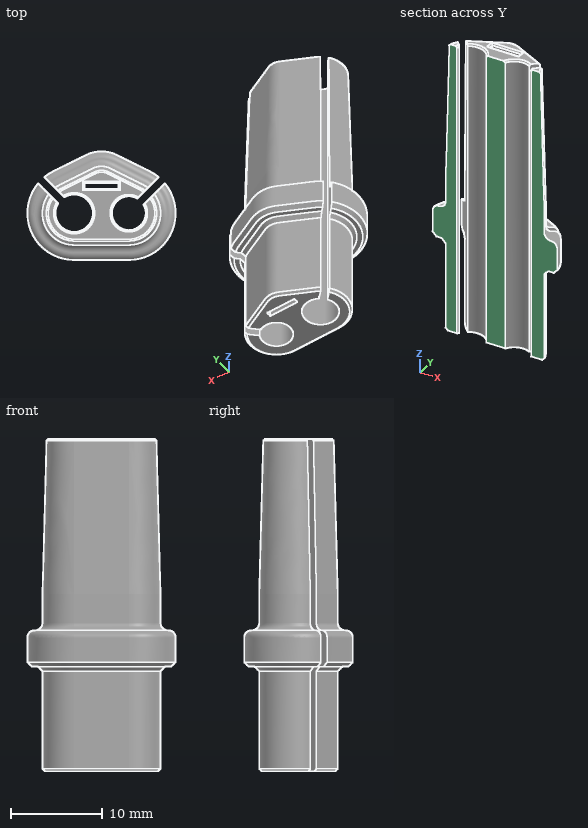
import cadquery as cq
import math

TOTAL_HEIGHT = 36.5
TAPER_LENGTH = 17.0
TAPER_ANGLE = 1.5
COLLAR_BOTTOM = 11.5
COLLAR_TOP = 15.5

SIDE_X = 3.0
SIDE_RADIUS = 3.5
PEAK_RADIUS = 2.15
PEAK_Y = 3.0
COLLAR_OVERHANG = 1.65

COLLAR_FILLET = 0.8
COLLAR_CHAMFER = 0.5
BOTTOM_CHAMFER = 0.3
TOP_CHAMFER = 0.2

LEFT_BORE_DIAMETER = 4.1
RIGHT_BORE_DIAMETER = 3.7
SLIT_WIDTH = 0.95
SLIT_ANGLE = 45.0
SLIT_REACH = 10.0
SLOT_LENGTH = 3.7
SLOT_WIDTH = 0.6
SLOT_Y = 3.0
MOUTH_CHAMFER = 0.2
MOUTH_ANGLE = 45.0

STRAIGHT_HEIGHT = TOTAL_HEIGHT - TAPER_LENGTH
EDGE_TOLERANCE = 0.01


def cross_section(z, growth=0.0):
    """Rounded outline at height z, grown outward everywhere by growth."""
    side_radius = SIDE_RADIUS + growth
    peak_radius = PEAK_RADIUS + growth
    center_distance = math.hypot(SIDE_X, PEAK_Y)
    lean = math.acos((side_radius - peak_radius) / center_distance) - math.atan2(SIDE_X, PEAK_Y)
    normal_x = math.sin(lean)
    normal_y = math.cos(lean)
    side_tangent_x = SIDE_X + side_radius * normal_x
    side_tangent_y = side_radius * normal_y
    peak_tangent_x = peak_radius * normal_x
    peak_tangent_y = PEAK_Y + peak_radius * normal_y
    middle_angle = -lean / 2
    side_middle_x = SIDE_X + side_radius * math.cos(middle_angle)
    side_middle_y = side_radius * math.sin(middle_angle)
    return (
        cq.Workplane("XY", origin=(0, 0, z))
        .moveTo(-SIDE_X, -side_radius)
        .lineTo(SIDE_X, -side_radius)
        .threePointArc((side_middle_x, side_middle_y), (side_tangent_x, side_tangent_y))
        .lineTo(peak_tangent_x, peak_tangent_y)
        .threePointArc((0, PEAK_Y + peak_radius), (-peak_tangent_x, peak_tangent_y))
        .lineTo(-side_tangent_x, side_tangent_y)
        .threePointArc((-side_middle_x, side_middle_y), (-SIDE_X, -side_radius))
        .close()
    )


def make_body():
    """Straight plug with a tapered upper end and chamfered end faces."""
    straight = cross_section(0).extrude(STRAIGHT_HEIGHT)
    straight = straight.faces("<Z").chamfer(BOTTOM_CHAMFER)
    tapered = cross_section(STRAIGHT_HEIGHT).extrude(TAPER_LENGTH, taper=TAPER_ANGLE)
    tapered = tapered.faces(">Z").chamfer(TOP_CHAMFER)
    return straight.union(tapered)


def make_collar():
    """Collar rounded along its upper rim and chamfered along its lower rim."""
    collar = cross_section(COLLAR_BOTTOM, COLLAR_OVERHANG).extrude(COLLAR_TOP - COLLAR_BOTTOM)
    return collar.faces(">Z").fillet(COLLAR_FILLET).faces("<Z").chamfer(COLLAR_CHAMFER)


def root_edges(z):
    """Selector for the edges at height z where the collar meets the body."""
    reach_x = SIDE_X + SIDE_RADIUS + EDGE_TOLERANCE
    reach_y = PEAK_Y + PEAK_RADIUS + EDGE_TOLERANCE
    low = (-reach_x, -SIDE_RADIUS - EDGE_TOLERANCE, z - EDGE_TOLERANCE)
    high = (reach_x, reach_y, z + EDGE_TOLERANCE)
    return cq.selectors.BoxSelector(low, high, boundingbox=True)


def make_bore(x, diameter):
    """Cutter for a through bore with a chamfered mouth at the top."""
    mouth_radius = diameter / 2 + MOUTH_CHAMFER
    bore = cq.Workplane("XY").center(x, 0).circle(diameter / 2).extrude(TOTAL_HEIGHT)
    mouth = (
        cq.Workplane("XY", origin=(x, 0, TOTAL_HEIGHT))
        .circle(mouth_radius)
        .extrude(-MOUTH_CHAMFER, taper=MOUTH_ANGLE)
    )
    return bore.union(mouth)


def make_slit(x, angle):
    """Cutter for a slit opening a bore at x to the outside along the given angle."""
    return (
        cq.Workplane("XY")
        .box(SLIT_REACH, SLIT_WIDTH, TOTAL_HEIGHT, centered=(False, True, False))
        .rotate((0, 0, 0), (0, 0, 1), angle)
        .translate((x, 0, 0))
    )


def make_slot():
    """Cutter for the flat through slot with a chamfered mouth at the top."""
    slot = cq.Workplane("XY").center(0, SLOT_Y).rect(SLOT_LENGTH, SLOT_WIDTH).extrude(TOTAL_HEIGHT)
    mouth = (
        cq.Workplane("XY", origin=(0, SLOT_Y, TOTAL_HEIGHT))
        .rect(SLOT_LENGTH + 2 * MOUTH_CHAMFER, SLOT_WIDTH + 2 * MOUTH_CHAMFER)
        .extrude(-MOUTH_CHAMFER, taper=MOUTH_ANGLE)
    )
    return slot.union(mouth)


result = make_body().union(make_collar())
result = result.edges(root_edges(COLLAR_TOP)).fillet(COLLAR_FILLET)
result = result.edges(root_edges(COLLAR_BOTTOM)).chamfer(COLLAR_CHAMFER)

result = result.cut(make_bore(-SIDE_X, LEFT_BORE_DIAMETER))
result = result.cut(make_bore(SIDE_X, RIGHT_BORE_DIAMETER))
result = result.cut(make_slit(-SIDE_X, 180 - SLIT_ANGLE))
result = result.cut(make_slit(SIDE_X, SLIT_ANGLE))
result = result.cut(make_slot())